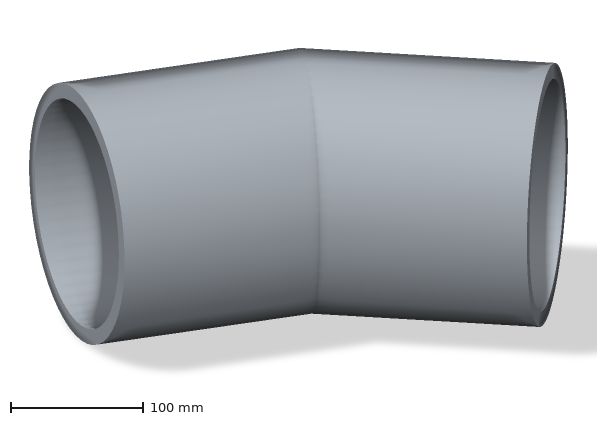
import cadquery as cq
import math

total_length = 395.0
outer_diameter = 200.0
wall = 12.0
bend_angle = math.radians(30)

outer_radius = outer_diameter / 2
inner_radius = outer_radius - wall

leg_length = (total_length - outer_radius * math.sin(bend_angle)) / (1 + math.cos(bend_angle))

miter_point = (0, leg_length)
end_point = (
    leg_length * math.sin(bend_angle),
    leg_length * (1 + math.cos(bend_angle)),
)


def mitred_rod(radius):
    """Solid round bar along the centreline, with a sharp mitre at the bend."""
    centreline = cq.Workplane("XY").polyline([(0, 0), miter_point, end_point])
    section = cq.Workplane("XZ").circle(radius)
    return section.sweep(centreline, transition="right")


result = mitred_rod(outer_radius).cut(mitred_rod(inner_radius))